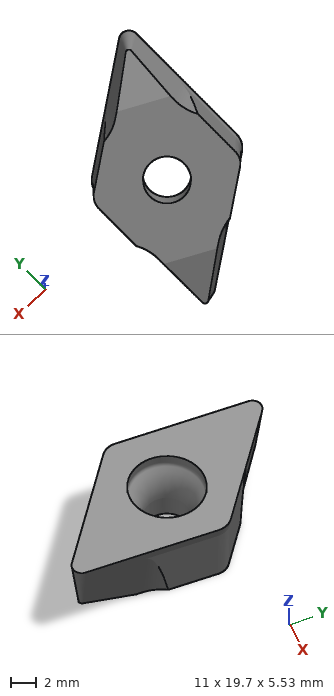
import cadquery as cq
import math

inscribed_diameter = 11.0
thickness = 5.53
acute_angle = 55.0
acute_radius = 0.79
obtuse_radius = 1.55
relief_angle = 7.0

rim_depth = 0.83
pad_half_length = 4.01
pad_draft_angle = 0.7
pad_runout_radius = 3.84

tip_relief_start = 6.27
tip_relief_angle = 16.0

bore_diameter = 3.7
seat_diameter = 6.14
seat_wall_depth = 0.77
seat_fillet_radius = 0.47
seat_throat_radius = 3.45

inscribed_radius = inscribed_diameter / 2
relief_slope = math.tan(math.radians(relief_angle))
side_tilt = math.radians(90 - acute_angle)
pad_height = thickness - rim_depth
clearance = 19.67

left_normal = cq.Vector(-1, 0, 0)
lower_normal = cq.Vector(-math.sin(side_tilt), -math.cos(side_tilt), 0)
left_run = cq.Vector(0, 1, 0)
lower_run = cq.Vector(math.cos(side_tilt), -math.sin(side_tilt), 0)


def half_turn(body):
    return body.rotate((0, 0, 0), (0, 0, 1), 180)


def rounded_rhombus(inset):
    """Closed outline with every side moved in by inset and the corner arcs kept concentric."""

    def corner(radius, run_sign):
        reach = inscribed_radius - radius
        center = cq.Vector(-reach, reach * (run_sign + math.sin(side_tilt)) / math.cos(side_tilt), 0)
        arc_radius = radius - inset
        slant_normal = lower_normal * -run_sign
        middle_normal = (left_normal + slant_normal).normalized()
        return [center + normal * arc_radius for normal in (left_normal, middle_normal, slant_normal)]

    acute_arc = corner(acute_radius, 1)
    obtuse_arc = corner(obtuse_radius, -1)
    points = [(p.x, p.y) for p in acute_arc + obtuse_arc]
    left_tip, mid_tip, slant_tip, left_obtuse, mid_obtuse, slant_obtuse = points

    def opposite(point):
        return (-point[0], -point[1])

    return (
        cq.Workplane("XY")
        .moveTo(*slant_tip)
        .threePointArc(mid_tip, left_tip)
        .lineTo(*left_obtuse)
        .threePointArc(mid_obtuse, slant_obtuse)
        .lineTo(*opposite(slant_tip))
        .threePointArc(opposite(mid_tip), opposite(left_tip))
        .lineTo(*opposite(left_obtuse))
        .threePointArc(opposite(mid_obtuse), opposite(slant_obtuse))
        .close()
    )


def tapered_prism(bottom_inset, top_inset, height):
    bottom = rounded_rhombus(bottom_inset).wires().val()
    top = rounded_rhombus(top_inset).wires().val().moved(cq.Location(cq.Vector(0, 0, height)))
    return cq.Workplane(cq.Solid.makeLoft([bottom, top], True))


def pad_end_cut(normal, run):
    """Removes the pad past its end and leaves a run-out arc tangent to the tapered flank."""
    flank_normal = (normal - cq.Vector(0, 0, relief_slope)).normalized()
    pad_end = normal * inscribed_radius + run * pad_half_length + cq.Vector(0, 0, thickness)
    plane = cq.Plane(origin=pad_end, xDir=run, normal=run.cross(flank_normal))
    runout = (
        cq.Workplane(plane)
        .center(0, pad_runout_radius)
        .circle(pad_runout_radius)
        .extrude(clearance, both=True)
    )
    past_end = (
        cq.Workplane(plane)
        .rect(clearance, 2 * pad_runout_radius)
        .extrude(clearance, both=True)
        .translate(run * (clearance / 2))
    )
    return runout.union(past_end)


def corner_pads():
    top_inset = rim_depth * relief_slope
    bottom_inset = top_inset + pad_height * math.tan(math.radians(pad_draft_angle))
    pads = tapered_prism(bottom_inset, top_inset, pad_height)
    for normal, run in ((left_normal, left_run), (lower_normal, lower_run)):
        end_cut = pad_end_cut(normal, run)
        pads = pads.cut(end_cut).cut(half_turn(end_cut))
    return pads


def tip_relief():
    """Wedge below the upper left tip, rising outward along the long diagonal."""
    tip_direction = (left_run - lower_run).normalized()
    plane = cq.Plane(origin=(0, 0, 0), xDir=tip_direction, normal=tip_direction.cross(cq.Vector(0, 0, 1)))
    rise = clearance * math.tan(math.radians(tip_relief_angle))
    return (
        cq.Workplane(plane)
        .moveTo(tip_relief_start, 0)
        .lineTo(tip_relief_start + clearance, 0)
        .lineTo(tip_relief_start + clearance, rise)
        .close()
        .extrude(clearance, both=True)
    )


def screw_hole():
    """Straight wall, concave fillet, then a convex throat that runs tangent into the bore."""
    bore_radius = bore_diameter / 2
    seat_radius = seat_diameter / 2
    turn = math.acos(1 - (seat_radius - bore_radius) / (seat_fillet_radius + seat_throat_radius))
    wall_end = thickness - seat_wall_depth
    throat_end = wall_end - (seat_fillet_radius + seat_throat_radius) * math.sin(turn)

    def fillet_point(angle):
        return (
            seat_radius - seat_fillet_radius * (1 - math.cos(angle)),
            wall_end - seat_fillet_radius * math.sin(angle),
        )

    def throat_point(angle):
        return (
            bore_radius + seat_throat_radius * (1 - math.cos(angle)),
            throat_end + seat_throat_radius * math.sin(angle),
        )

    return (
        cq.Workplane("XZ")
        .moveTo(0, 0)
        .lineTo(0, thickness)
        .lineTo(seat_radius, thickness)
        .lineTo(seat_radius, wall_end)
        .threePointArc(fillet_point(turn / 2), fillet_point(turn))
        .threePointArc(throat_point(turn / 2), (bore_radius, throat_end))
        .lineTo(bore_radius, 0)
        .close()
        .revolve(360, (0, 0, 0), (0, 1, 0))
    )


wedge = tip_relief()
result = (
    tapered_prism(thickness * relief_slope, 0, thickness)
    .union(corner_pads())
    .cut(wedge)
    .cut(half_turn(wedge))
    .cut(screw_hole())
)